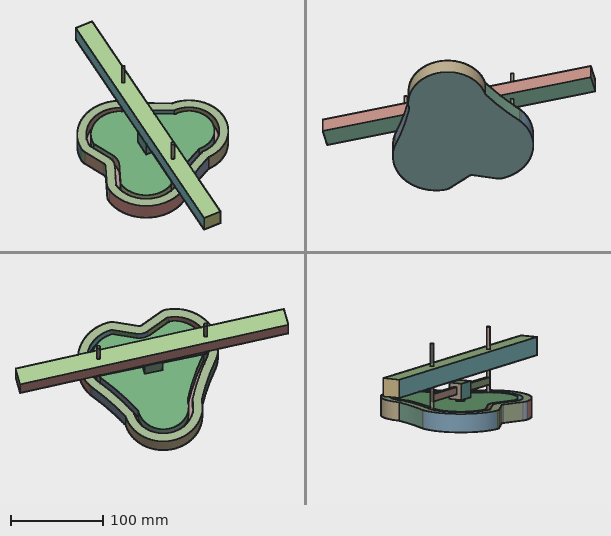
import cadquery as cq
import math

TRAY_HEIGHT = 20.5
GROOVE_WIDTH = 5.0
GROOVE_DEPTH = 15.0
RIM_WIDTH = 10.0

HEAD_RADIUS = 27.5
HEAD_Y = 50.0
HEAD_END_DROP = 1.8
LOBE_RADIUS = 32.0
LOBE_X = 30.0
LOBE_Y = -18.0
LOBE_START_ANGLE = 149.0
LOBE_END_ANGLE = 266.5
FLANK_SAG = 1.5
NOTCH_RADIUS = 19.8
NOTCH_TOP_Y = -37.5

BAR_LENGTH = 300.0
BAR_SIDE = 20.0
BAR_BOTTOM = 47.7

PIN_DIAMETER = 3.5
PIN_SPACING = 119.5
PIN_TOP = 92.5
ARM_YAW = -0.9

BLOCK_LENGTH = 20.0
BLOCK_WIDTH = 15.0
BLOCK_HEIGHT = 18.0
BLOCK_BOTTOM = 23.0
ARM_THICKNESS = PIN_DIAMETER
ARM_HEIGHT = 8.0
ARM_BOTTOM = 28.8
SHAFT_DIAMETER = 9.5

GROOVE_FLOOR = TRAY_HEIGHT - GROOVE_DEPTH


def mirrored(point):
    return (-point[0], point[1])


def bowed_middle(start, end, sag):
    """Middle point of an arc that bows to the left of the way from start to end."""
    dx = end[0] - start[0]
    dy = end[1] - start[1]
    chord = math.hypot(dx, dy)
    middle_x = (start[0] + end[0]) / 2 - sag * dy / chord
    middle_y = (start[1] + end[1]) / 2 + sag * dx / chord
    return (middle_x, middle_y)


def on_circle(center, radius, angle):
    return (center[0] + radius * math.cos(angle), center[1] + radius * math.sin(angle))


def island_outline():
    head_end = (-math.sqrt(HEAD_RADIUS**2 - HEAD_END_DROP**2), HEAD_Y - HEAD_END_DROP)
    head_top = (0, HEAD_Y + HEAD_RADIUS)

    lobe_center = (-LOBE_X, LOBE_Y)
    lobe_start_angle = math.radians(LOBE_START_ANGLE)
    lobe_end_angle = math.radians(LOBE_END_ANGLE)
    lobe_start = on_circle(lobe_center, LOBE_RADIUS, lobe_start_angle)
    lobe_middle = on_circle(lobe_center, LOBE_RADIUS, (lobe_start_angle + lobe_end_angle) / 2)
    lobe_end = on_circle(lobe_center, LOBE_RADIUS, lobe_end_angle)
    flank_middle = bowed_middle(head_end, lobe_start, FLANK_SAG)

    notch_center = (0, NOTCH_TOP_Y - NOTCH_RADIUS)
    to_lobe_x = lobe_end[0] - notch_center[0]
    to_lobe_y = lobe_end[1] - notch_center[1]
    to_lobe_angle = math.atan2(to_lobe_y, to_lobe_x)
    tangent_turn = math.acos(NOTCH_RADIUS / math.hypot(to_lobe_x, to_lobe_y))
    notch_start = on_circle(notch_center, NOTCH_RADIUS, to_lobe_angle - tangent_turn)

    return (
        cq.Workplane("XY")
        .moveTo(*mirrored(head_end))
        .threePointArc(head_top, head_end)
        .threePointArc(flank_middle, lobe_start)
        .threePointArc(lobe_middle, lobe_end)
        .lineTo(*notch_start)
        .threePointArc((0, NOTCH_TOP_Y), mirrored(notch_start))
        .lineTo(*mirrored(lobe_end))
        .threePointArc(mirrored(lobe_middle), mirrored(lobe_start))
        .threePointArc(mirrored(flank_middle), mirrored(head_end))
        .close()
    )


def make_tray():
    body = island_outline().offset2D(GROOVE_WIDTH + RIM_WIDTH).extrude(TRAY_HEIGHT)
    groove_outer = island_outline().offset2D(GROOVE_WIDTH).extrude(GROOVE_DEPTH)
    island = island_outline().extrude(GROOVE_DEPTH)
    groove = groove_outer.cut(island).translate((0, 0, GROOVE_FLOOR))
    return body.cut(groove)


def box_on(length, width, height, bottom):
    """Box centred on the Z axis, standing on the height `bottom`."""
    return cq.Workplane("XY", origin=(0, 0, bottom)).box(
        length, width, height, centered=(True, True, False)
    )


def make_pin(side):
    """Guide pin from the groove floor to above the bar; side is -1 or 1 along the arm."""
    yaw = math.radians(ARM_YAW)
    reach = side * PIN_SPACING / 2
    foot = (reach * math.cos(yaw), reach * math.sin(yaw), GROOVE_FLOOR)
    return cq.Workplane("XY", origin=foot).circle(PIN_DIAMETER / 2).extrude(PIN_TOP - GROOVE_FLOOR)


def make_bar(pins):
    bar = box_on(BAR_LENGTH, BAR_SIDE, BAR_SIDE, BAR_BOTTOM)
    for pin in pins:
        bar = bar.cut(pin)
    return bar


def make_carriage(pins):
    block = box_on(BLOCK_LENGTH, BLOCK_WIDTH, BLOCK_HEIGHT, BLOCK_BOTTOM)
    arm = box_on(PIN_SPACING, ARM_THICKNESS, ARM_HEIGHT, ARM_BOTTOM)
    shaft = (
        cq.Workplane("XY", origin=(0, 0, TRAY_HEIGHT))
        .circle(SHAFT_DIAMETER / 2)
        .extrude(BLOCK_BOTTOM - TRAY_HEIGHT)
    )
    carriage = block.union(arm).union(shaft).rotate((0, 0, 0), (0, 0, 1), ARM_YAW)
    for pin in pins:
        carriage = carriage.cut(pin)
    return carriage


pins = [make_pin(side) for side in (-1, 1)]
tray = make_tray()
bar = make_bar(pins)
carriage = make_carriage(pins)

result = cq.Compound.makeCompound(
    [tray.val(), bar.val(), carriage.val(), *[pin.val() for pin in pins]]
)